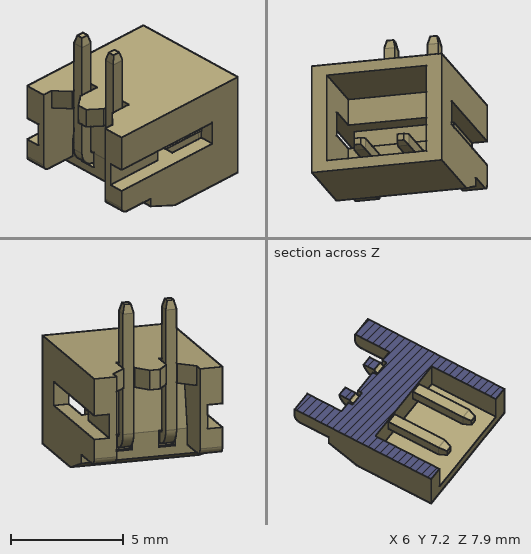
import cadquery as cq


width = 6.0
depth = 7.2
height = 5.0
mid_x = width / 2
underside_start = 3.29
step_y = 1.79
step_z = 0.6
arm_bottom = 1.0
arm_corner_radius = 0.315
arm_thickness = 1.05

plate_thickness = 0.9
plate_bottom = height - plate_thickness
slope_bottom = 1.78
slope_top_y = 2.21

plate_front = 0.49
pin_slot_front = 1.105
pin_slot_back = 2.14
pin_slot_width = 0.51
tongue_tip_width = 0.49

slot_bottom = 2.205
slot_top = 3.3
slot_end = 5.62
slot_depth = 0.7
cross_slot_start = 2.915
cavity_floor = 3.82
side_wall = slot_depth
flat_wall = 0.5

pin_pitch = 2.0
pin_width = 0.505
pin_front = 1.2
pin_back = 1.75
pin_bottom = 1.14
pin_leg_top = 1.65
pin_tip_z = 7.9
pin_tip_length = 0.395
pin_tip_width = 0.3
pin_tip_depth = 0.35
mating_tip_height = 0.3
pin_bend_radius = 0.805
pin_inner_bend_radius = 0.24
pin_mating_end = 6.84

notch_clearance = 0.13
notch_back = pin_front + pin_bend_radius

pin_centers = [mid_x - pin_pitch / 2, mid_x + pin_pitch / 2]


def block(x0, x1, y0, y1, z0, z1):
    """Box between two opposite corners."""
    return cq.Workplane("XY").box(x1 - x0, y1 - y0, z1 - z0, centered=False).translate((x0, y0, z0))


def housing_blank():
    """Side profile with the stepped, chamfered underside."""
    return (
        cq.Workplane("YZ")
        .moveTo(underside_start, 0)
        .lineTo(depth, 0)
        .lineTo(depth, height)
        .lineTo(0, height)
        .lineTo(0, arm_bottom + arm_corner_radius)
        .radiusArc((arm_corner_radius, arm_bottom), -arm_corner_radius)
        .lineTo(step_y, arm_bottom)
        .lineTo(step_y, step_z)
        .close()
        .extrude(width)
    )


def front_recess():
    """Space between the arms and below the top plate, with a leaning rear face."""
    return (
        cq.Workplane("YZ")
        .polyline([
            (0, arm_bottom),
            (step_y, arm_bottom),
            (step_y, slope_bottom),
            (slope_top_y, plate_bottom),
            (0, plate_bottom),
        ])
        .close()
        .extrude(width - 2 * arm_thickness)
        .translate((arm_thickness, 0, 0))
    )


def plate_cutout():
    """Opening in the top plate: two pin slots with a tapered tongue between them."""
    slot_outer = pin_pitch / 2 + pin_slot_width / 2
    slot_inner = pin_pitch / 2 - pin_slot_width / 2
    arm_inner = mid_x - arm_thickness
    right_half = [
        (tongue_tip_width / 2, plate_front),
        (slot_inner, pin_slot_front),
        (slot_inner, pin_slot_back),
        (slot_outer, pin_slot_back),
        (slot_outer, pin_slot_front),
        (arm_inner, plate_front),
        (arm_inner, 0),
    ]
    left_half = [(-x, y) for x, y in reversed(right_half)]
    return (
        cq.Workplane("XY")
        .polyline(left_half + right_half)
        .close()
        .extrude(plate_thickness)
        .translate((mid_x, 0, plate_bottom))
    )


def side_slots():
    """Blind slots along both sides, joined by a crossing slot further back."""
    left = block(0, slot_depth, 0, slot_end, slot_bottom, slot_top)
    right = left.translate((width - slot_depth, 0, 0))
    crossing = block(0, width, cross_slot_start, slot_end, slot_bottom, slot_top)
    return left.union(right).union(crossing)


def mating_cavity():
    """Pocket open at the mating end."""
    return block(side_wall, width - side_wall, cavity_floor, depth, flat_wall, height - flat_wall)


def pin_notch(x):
    """Clearance pocket around a pin where its bend enters the housing."""
    half = pin_width / 2 + notch_clearance
    return block(x - half, x + half, step_y, notch_back,
                 pin_bottom - notch_clearance, slope_bottom)


def tapered_tip(base, base_size, end_size):
    """Pyramid-shaped pin end standing on the given workplane."""
    return base.rect(*base_size).workplane(offset=pin_tip_length).rect(*end_size).loft()


def pin(x):
    """L-shaped pin: a leg into the cavity and an upright, both with tapered tips."""
    upright_end = pin_tip_z - pin_tip_length
    leg_end = pin_mating_end - pin_tip_length
    upright_depth = pin_back - pin_front
    leg_height = pin_leg_top - pin_bottom
    body = (
        cq.Workplane("YZ")
        .moveTo(leg_end, pin_bottom)
        .lineTo(leg_end, pin_leg_top)
        .lineTo(pin_back + pin_inner_bend_radius, pin_leg_top)
        .radiusArc((pin_back, pin_leg_top + pin_inner_bend_radius), pin_inner_bend_radius)
        .lineTo(pin_back, upright_end)
        .lineTo(pin_front, upright_end)
        .lineTo(pin_front, pin_bottom + pin_bend_radius)
        .radiusArc((pin_front + pin_bend_radius, pin_bottom), -pin_bend_radius)
        .close()
        .extrude(pin_width)
        .translate((x - pin_width / 2, 0, 0))
    )
    solder_tip = tapered_tip(
        cq.Workplane("XY", origin=(x, pin_front + upright_depth / 2, upright_end)),
        (pin_width, upright_depth),
        (pin_tip_width, pin_tip_depth),
    )
    mating_tip = tapered_tip(
        cq.Workplane("ZX", origin=(x, leg_end, pin_bottom + leg_height / 2)),
        (leg_height, pin_width),
        (mating_tip_height, pin_tip_width),
    )
    return body.union(solder_tip).union(mating_tip)


result = (
    housing_blank()
    .cut(front_recess())
    .cut(plate_cutout())
    .cut(side_slots())
    .cut(mating_cavity())
)
for center in pin_centers:
    result = result.cut(pin_notch(center)).union(pin(center))